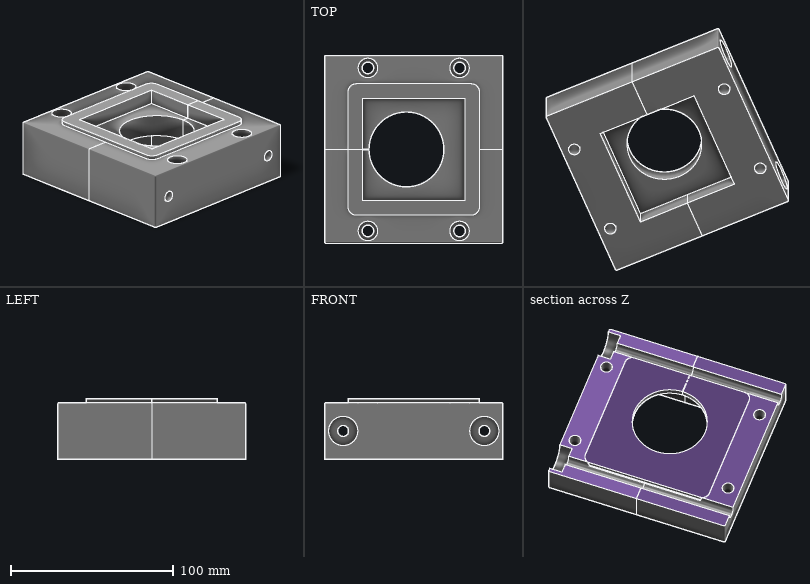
import cadquery as cq

BLOCK_X = 110.0
BLOCK_Y = 116.0
BLOCK_Z = 35.0
EDGE_RADIUS = 1.0

INSERT_SIDE = 81.0
INSERT_CORNER_RADIUS = 5.0
INSERT_BOTTOM = 15.0
INSERT_RIM_HEIGHT = 2.5
INSERT_TOP = BLOCK_Z + INSERT_RIM_HEIGHT

WINDOW_SIDE = 63.0
RECESS_DEPTH = 9.0

PASSAGE_DIAMETER = 46.0
PASSAGE_X = -4.5
SLIT_WIDTH = 0.1

MOUNT_X_SPACING = 56.5
MOUNT_Y_SPACING = 100.5
MOUNT_HOLE_DIAMETER = 7.0
MOUNT_HEAD_DIAMETER = 12.0
MOUNT_HEAD_DEPTH = 6.4

CLAMP_X_SPACING = 87.0
CLAMP_Z = BLOCK_Z / 2
CLAMP_HOLE_DIAMETER = 6.6
CLAMP_HEAD_DIAMETER = 18.0
CLAMP_HEAD_DEPTH = 8.0


def square_prism(side, bottom, top):
    """Square prism centred on the Z axis between two heights."""
    return cq.Workplane("XY").workplane(offset=bottom).rect(side, side).extrude(top - bottom)


def insert_envelope():
    """Solid outline of the insert, also used to cut its seat in the block."""
    return square_prism(INSERT_SIDE, INSERT_BOTTOM, INSERT_TOP).edges("|Z").fillet(INSERT_CORNER_RADIUS)


def add_mount_holes(block):
    """Four counterbored holes down through the block."""
    return (
        block.copyWorkplane(cq.Workplane("XY", origin=(0, 0, BLOCK_Z)))
        .rarray(MOUNT_X_SPACING, MOUNT_Y_SPACING, 2, 2)
        .cboreHole(MOUNT_HOLE_DIAMETER, MOUNT_HEAD_DIAMETER, MOUNT_HEAD_DEPTH)
    )


def add_clamp_holes(block):
    """Two counterbored holes from the -Y face through both halves."""
    half_spacing = CLAMP_X_SPACING / 2
    return (
        block.copyWorkplane(cq.Workplane("XZ", origin=(0, -BLOCK_Y / 2, CLAMP_Z)))
        .pushPoints([(-half_spacing, 0), (half_spacing, 0)])
        .cboreHole(CLAMP_HOLE_DIAMETER, CLAMP_HEAD_DIAMETER, CLAMP_HEAD_DEPTH)
    )


def make_block():
    """Both halves as one block, with the insert seat, the window and all screw holes."""
    block = cq.Workplane("XY").box(BLOCK_X, BLOCK_Y, BLOCK_Z, centered=(True, True, False))
    block = block.edges("|Z or >Z").fillet(EDGE_RADIUS)
    block = block.cut(insert_envelope())
    block = block.cut(square_prism(WINDOW_SIDE, 0, INSERT_BOTTOM))
    return add_clamp_holes(add_mount_holes(block))


def make_half(block, side):
    """The half of the block on the -Y side (side = -1) or the +Y side (side = 1)."""
    half_space = cq.Workplane("XY", origin=(0, side * BLOCK_Y / 4, 0)).box(
        BLOCK_X, BLOCK_Y / 2, BLOCK_Z, centered=(True, True, False)
    )
    return block.intersect(half_space)


def make_insert():
    """Insert with a square recess, the round passage and the slit."""
    height = INSERT_TOP - INSERT_BOTTOM
    recess = square_prism(WINDOW_SIDE, INSERT_TOP - RECESS_DEPTH, INSERT_TOP)
    passage = (
        cq.Workplane("XY", origin=(PASSAGE_X, 0, INSERT_BOTTOM))
        .circle(PASSAGE_DIAMETER / 2)
        .extrude(height)
    )
    slit_length = PASSAGE_X + INSERT_SIDE / 2
    slit = cq.Workplane("XY", origin=(-INSERT_SIDE / 2, 0, INSERT_BOTTOM)).box(
        slit_length, SLIT_WIDTH, height, centered=(False, True, False)
    )
    return insert_envelope().cut(recess).cut(passage).cut(slit)


block = make_block()
front_half = make_half(block, -1)
rear_half = make_half(block, 1)
insert = make_insert()

bodies = [body.solids().val() for body in (front_half, rear_half, insert)]
result = cq.Compound.makeCompound(bodies)